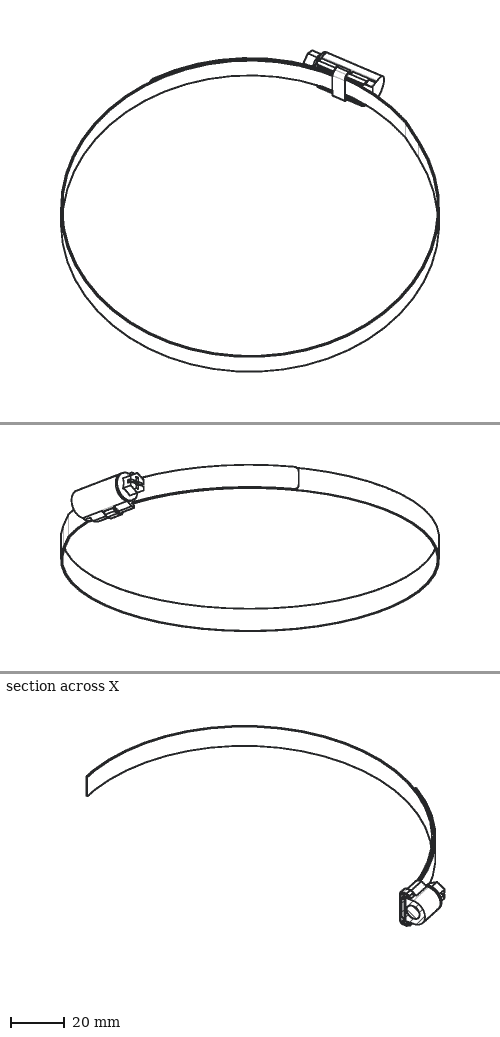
import cadquery as cq
import math

BAND_OUTER_RADIUS = 70.7
BAND_THICKNESS = 0.6
BAND_WIDTH = 9.0
LAYER_GAP = 0.2
FREE_END_ANGLE = 150.2
STEP_TOP_ANGLE = 63.7
STEP_BOTTOM_ANGLE = 54.8
INNER_END_ANGLE = 89.0
FREE_END_CORNER = 1.8
BAND_INNER_RADIUS = BAND_OUTER_RADIUS - BAND_THICKNESS
OVERLAP_INNER_RADIUS = BAND_OUTER_RADIUS + LAYER_GAP
OVERLAP_OUTER_RADIUS = OVERLAP_INNER_RADIUS + BAND_THICKNESS

AXIS_Y = 75.2
HEAD_START = -16.4
COLLAR_START = -12.7
COLLAR_END = -10.3
COLLAR_RADIUS = 5.5
COLLAR_CONE_LENGTH = 1.5
COLLAR_TIP_RADIUS = 3.3
HEX_ACROSS_FLATS = 7.0
SLOT_WIDTH = 1.0
SLOT_DEPTH = 1.5
SHORT_SLOT_LENGTH = 4.5
SHANK_RADIUS = 3.0
SHANK_END = 9.1
HEX_ACROSS_CORNERS = HEX_ACROSS_FLATS / math.cos(math.radians(30))

HOUSING_START = COLLAR_END
HOUSING_END = 13.2
BARREL_RADIUS = COLLAR_RADIUS
SHOULDER_TOP_Y = 74.6
EAR_TOP_Y = 72.2
EAR_BOTTOM_Y = 70.4
ROOF_Y = 71.8
EAR_END = 10.3
EAR_HALF_WIDTH = 6.8
EAR_THICKNESS = 0.8
EAR_CORNER_RADIUS = 1.0
ROOF_HALF_WIDTH = 5.5
ROOF_SLOPE_DROP = 0.8
WINDOW_HALF_LENGTH = 3.2
END_HALF_WIDTH = 5.9
EAR_INNER = EAR_HALF_WIDTH - EAR_THICKNESS

STRAP_HALF_LENGTH = 2.5
STRAP_THICKNESS = 0.6
STRAP_HALF_WIDTH = 7.5
STRAP_BOTTOM_Y = 69.2
STRAP_BEND_RADIUS = 1.7
HOOK_SHOULDER_Y = 72.4
HOOK_KNEE_Y = 73.7
HOOK_KNEE_HALF_WIDTH = 7.0
HOOK_TIP_Y = 74.0
HOOK_TIP_HALF_WIDTH = 5.6


def polar(radius, angle):
    turn = math.radians(angle)
    return (radius * math.cos(turn), radius * math.sin(turn))


def arc_to(path, radius, start_angle, end_angle):
    """Continue the path along a circle about the ring centre."""
    middle = polar(radius, (start_angle + end_angle) / 2)
    return path.threePointArc(middle, polar(radius, end_angle))


def make_band():
    inner_end = INNER_END_ANGLE - 360
    outline = cq.Workplane("XY").moveTo(*polar(OVERLAP_OUTER_RADIUS, FREE_END_ANGLE))
    outline = arc_to(outline, OVERLAP_OUTER_RADIUS, FREE_END_ANGLE, STEP_TOP_ANGLE)
    outline = outline.lineTo(*polar(BAND_OUTER_RADIUS, STEP_BOTTOM_ANGLE))
    outline = arc_to(outline, BAND_OUTER_RADIUS, STEP_BOTTOM_ANGLE, inner_end)
    outline = outline.lineTo(*polar(BAND_INNER_RADIUS, inner_end))
    outline = arc_to(outline, BAND_INNER_RADIUS, inner_end, STEP_BOTTOM_ANGLE)
    outline = outline.lineTo(*polar(OVERLAP_INNER_RADIUS, STEP_TOP_ANGLE))
    outline = arc_to(outline, OVERLAP_INNER_RADIUS, STEP_TOP_ANGLE, FREE_END_ANGLE)
    strip = outline.close().extrude(BAND_WIDTH / 2, both=True)
    free_end = polar((OVERLAP_INNER_RADIUS + OVERLAP_OUTER_RADIUS) / 2, FREE_END_ANGLE)
    corners = cq.selectors.BoxSelector(
        (free_end[0] - BAND_THICKNESS, free_end[1] - BAND_THICKNESS, -BAND_WIDTH),
        (free_end[0] + BAND_THICKNESS, free_end[1] + BAND_THICKNESS, BAND_WIDTH),
    )
    return strip.edges(corners).edges("#Z").fillet(FREE_END_CORNER)


def across(x):
    """Workplane at x facing +X, with local x along Y and local y along Z, on the screw axis."""
    return cq.Workplane("YZ", origin=(x, AXIS_Y, 0))


def make_screw():
    hexagon = across(HEAD_START).transformed(rotate=(0, 0, 90)).polygon(6, HEX_ACROSS_CORNERS)
    head = hexagon.extrude(COLLAR_START + COLLAR_CONE_LENGTH - HEAD_START)
    long_slot = across(HEAD_START).rect(HEX_ACROSS_CORNERS, SLOT_WIDTH).extrude(SLOT_DEPTH)
    short_slot = across(HEAD_START).rect(SLOT_WIDTH, SHORT_SLOT_LENGTH).extrude(SLOT_DEPTH)
    head = head.cut(long_slot).cut(short_slot)
    collar = across(COLLAR_START).circle(COLLAR_RADIUS).extrude(COLLAR_END - COLLAR_START)
    collar = collar.faces("<X").chamfer(COLLAR_CONE_LENGTH, COLLAR_RADIUS - COLLAR_TIP_RADIUS)
    relief = cq.Workplane("XY").circle(OVERLAP_OUTER_RADIUS).extrude(BAND_WIDTH, both=True)
    shank = across(COLLAR_END).circle(SHANK_RADIUS).extrude(SHANK_END - COLLAR_END)
    return collar.cut(relief).union(head).union(shank)


def housing_block(half_width, end):
    """Barrel section widening through sloping shoulders to the given half width."""
    slope = (EAR_HALF_WIDTH - BARREL_RADIUS) / (SHOULDER_TOP_Y - EAR_TOP_Y)
    slope_end_y = SHOULDER_TOP_Y - (half_width - BARREL_RADIUS) / slope
    return (
        cq.Workplane("YZ", origin=(HOUSING_START, 0, 0))
        .moveTo(AXIS_Y, -BARREL_RADIUS)
        .threePointArc((AXIS_Y + BARREL_RADIUS, 0), (AXIS_Y, BARREL_RADIUS))
        .lineTo(SHOULDER_TOP_Y, BARREL_RADIUS)
        .lineTo(slope_end_y, half_width)
        .lineTo(EAR_BOTTOM_Y, half_width)
        .lineTo(EAR_BOTTOM_Y, -half_width)
        .lineTo(slope_end_y, -half_width)
        .lineTo(SHOULDER_TOP_Y, -BARREL_RADIUS)
        .close()
        .extrude(end - HOUSING_START)
    )


def band_channel():
    """Lengthwise passage between the ears, with the corners of its ceiling sloped."""
    return (
        cq.Workplane("YZ", origin=(HOUSING_START, 0, 0))
        .moveTo(EAR_BOTTOM_Y, -EAR_INNER)
        .lineTo(ROOF_Y - ROOF_SLOPE_DROP, -EAR_INNER)
        .lineTo(ROOF_Y, -ROOF_HALF_WIDTH)
        .lineTo(ROOF_Y, ROOF_HALF_WIDTH)
        .lineTo(ROOF_Y - ROOF_SLOPE_DROP, EAR_INNER)
        .lineTo(EAR_BOTTOM_Y, EAR_INNER)
        .close()
        .extrude(HOUSING_END - HOUSING_START)
    )


def shoulder_windows():
    """One opening in each sloping shoulder, as deep as the side of the barrel."""
    depth = EAR_HALF_WIDTH - BARREL_RADIUS
    centre_y = (SHOULDER_TOP_Y + EAR_TOP_Y) / 2
    centre_z = BARREL_RADIUS + depth / 2
    centres = [cq.Vector(0, centre_y, side * centre_z) for side in (-1, 1)]
    openings = cq.Workplane("XY").pushPoints(centres)
    return openings.box(2 * WINDOW_HALF_LENGTH, SHOULDER_TOP_Y - EAR_TOP_Y, depth)


def make_housing():
    eared = housing_block(EAR_HALF_WIDTH, EAR_END)
    eared = eared.edges("|Z and <Y").fillet(EAR_CORNER_RADIUS)
    body = eared.union(housing_block(END_HALF_WIDTH, HOUSING_END))
    bore = across(HOUSING_START).circle(SHANK_RADIUS).extrude(SHANK_END - HOUSING_START)
    return body.cut(band_channel()).cut(shoulder_windows()).cut(bore)


def strap_profile(inset):
    """Block with the outline of the strap, closed across the hook tips, shrunk by the inset."""
    half_width = STRAP_HALF_WIDTH - inset
    bottom_y = STRAP_BOTTOM_Y + inset
    bend_radius = STRAP_BEND_RADIUS - inset
    bend_end_y = bottom_y + bend_radius
    bend_start_z = half_width - bend_radius
    knee = (HOOK_KNEE_Y - inset, HOOK_KNEE_HALF_WIDTH - inset)
    tip_y = HOOK_TIP_Y - inset
    return (
        cq.Workplane("YZ", origin=(-STRAP_HALF_LENGTH, 0, 0))
        .moveTo(tip_y, HOOK_TIP_HALF_WIDTH)
        .lineTo(*knee)
        .lineTo(HOOK_SHOULDER_Y, half_width)
        .lineTo(bend_end_y, half_width)
        .radiusArc((bottom_y, bend_start_z), -bend_radius)
        .lineTo(bottom_y, -bend_start_z)
        .radiusArc((bend_end_y, -half_width), -bend_radius)
        .lineTo(HOOK_SHOULDER_Y, -half_width)
        .lineTo(knee[0], -knee[1])
        .lineTo(tip_y, -HOOK_TIP_HALF_WIDTH)
        .close()
        .extrude(2 * STRAP_HALF_LENGTH)
    )


def make_strap():
    """Sheet bent into a U whose two ends hook into the shoulder windows."""
    mouth = (
        cq.Workplane("YZ", origin=(-STRAP_HALF_LENGTH, HOOK_TIP_Y - STRAP_THICKNESS / 2, 0))
        .rect(STRAP_THICKNESS, 2 * HOOK_TIP_HALF_WIDTH)
        .extrude(2 * STRAP_HALF_LENGTH)
    )
    return strap_profile(0).cut(strap_profile(STRAP_THICKNESS)).cut(mouth)


band = make_band()
screw = make_screw()
housing = make_housing()
strap = make_strap()

result = cq.Compound.makeCompound([band.val(), screw.val(), housing.val(), strap.val()])